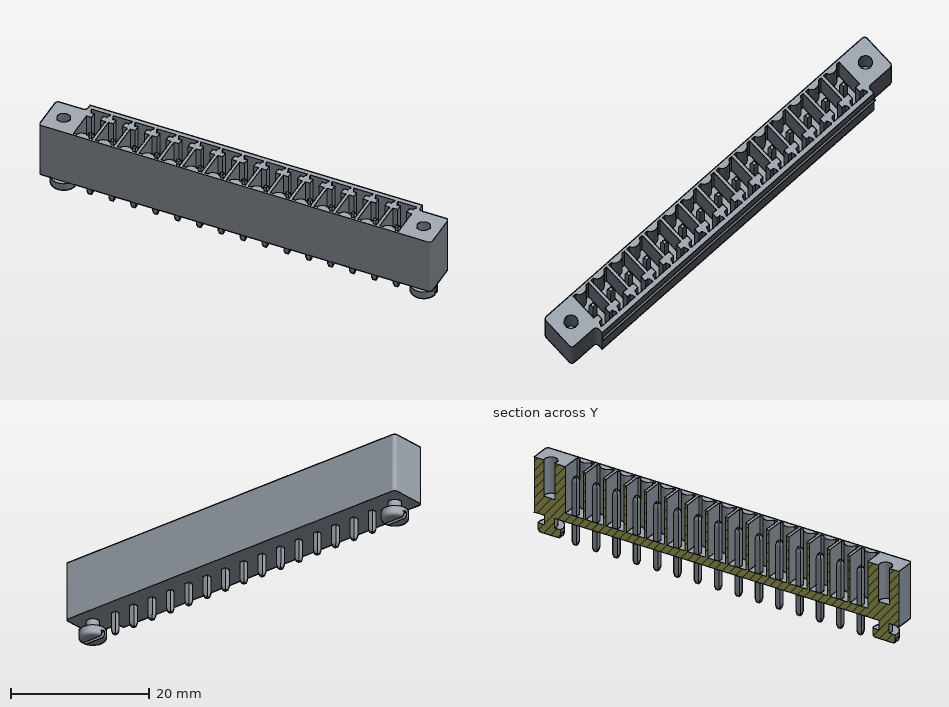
import cadquery as cq
import math

pin_count = 15
pitch = 3.5
pin_width = 0.8
pin_below = 3.4
pin_top = 7.7
pin_tip_length = 0.6
pin_tip_width = 0.5

body_height = 9.2
total_length = 62.8
end_step = 4.8
front_y = -3.0
flange_depth = 6.0
body_depth = 7.25
corner_radius = 0.5
step_radius = 0.5
core_length = total_length - 2 * end_step
flange_back_y = front_y + flange_depth
back_y = front_y + body_depth

rib_radius = 0.3
rib_centre_z = 5.9

floor_thickness = 1.5
front_wall = 0.4
partition = 0.5
pocket_width = pitch - partition
chamber_length = 4.4
neck_width = 1.45
neck_length = 0.95
head_width = 2.55
head_slope_length = 0.55
head_straight_length = 0.2
pocket_front_y = front_y + front_wall
chamber_back_y = pocket_front_y + chamber_length
neck_back_y = chamber_back_y + neck_length
head_shoulder_y = neck_back_y + head_slope_length
pocket_back_y = head_shoulder_y + head_straight_length
lobe_width = 2.0
lobe_depth = 0.65

screw_to_pin = 4.3
screw_spacing = (pin_count - 1) * pitch + 2 * screw_to_pin
screw_diameter = 2.0
screw_head_diameter = 4.0
screw_head_top = -1.5
screw_head_height = 1.5
screw_head_fillet = 0.5
slot_width = 0.6
slot_depth = 0.9
bore_depth = 6.0

pin_xs = [(i - (pin_count - 1) / 2) * pitch for i in range(pin_count)]
screw_xs = [-screw_spacing / 2, screw_spacing / 2]


def make_housing():
    """Full-length flange block with a deeper centre section."""
    flange = cq.Workplane("XY").box(total_length, flange_depth, body_height, centered=(True, False, False))
    flange = flange.edges("|Z").fillet(corner_radius).translate((0, front_y, 0))
    core = cq.Workplane("XY").box(core_length, body_depth, body_height, centered=(True, False, False))
    housing = flange.union(core.translate((0, front_y, 0)))
    inner_corners = cq.selectors.BoxSelector(
        (-core_length / 2 - corner_radius, flange_back_y - corner_radius, 0),
        (core_length / 2 + corner_radius, flange_back_y + corner_radius, body_height),
    )
    return housing.edges("|Z").edges(inner_corners).fillet(step_radius)


def make_latch_rib():
    """Half-round rib on the back wall, as long as the centre section."""
    return (
        cq.Workplane("YZ", origin=(0, back_y, rib_centre_z))
        .circle(rib_radius)
        .extrude(core_length / 2, both=True)
    )


def make_pocket(x):
    """Keyed pocket: wide chamber, narrow neck and a dovetail head, with a round lobe in front."""
    right_side = [
        (pocket_width / 2, pocket_front_y),
        (pocket_width / 2, chamber_back_y),
        (neck_width / 2, chamber_back_y),
        (neck_width / 2, neck_back_y),
        (head_width / 2, neck_back_y),
        (pocket_width / 2, head_shoulder_y),
        (pocket_width / 2, pocket_back_y),
    ]
    left_side = [(-px, py) for px, py in reversed(right_side)]
    return (
        cq.Workplane("XY", origin=(x, 0, floor_thickness))
        .moveTo(lobe_width / 2, pocket_front_y)
        .polyline(right_side + left_side, includeCurrent=True)
        .lineTo(-lobe_width / 2, pocket_front_y)
        .threePointArc((0, pocket_front_y + lobe_depth), (lobe_width / 2, pocket_front_y))
        .close()
        .extrude(body_height - floor_thickness)
    )


def make_pin(x):
    """Square pin tapered at both ends."""
    taper_angle = math.degrees(math.atan((pin_width - pin_tip_width) / 2 / pin_tip_length))
    shank_length = pin_top + pin_below - 2 * pin_tip_length
    return (
        cq.Workplane("XY", origin=(x, 0, pin_tip_length - pin_below))
        .rect(pin_width, pin_width)
        .extrude(shank_length)
        .faces(">Z").wires().toPending()
        .extrude(pin_tip_length, taper=taper_angle)
        .faces("<Z").wires().toPending().workplane()
        .extrude(pin_tip_length, taper=taper_angle)
    )


def make_screw(x):
    """Slotted screw below the flange; its shank reaches into the housing."""
    head = cq.Workplane("XY", origin=(x, 0, screw_head_top))
    head = head.circle(screw_head_diameter / 2).extrude(-screw_head_height)
    head = head.faces("<Z").edges().fillet(screw_head_fillet)
    slot = cq.Workplane("XY", origin=(x, 0, screw_head_top - screw_head_height))
    slot = slot.rect(screw_head_diameter, slot_width).extrude(slot_depth)
    shank_length = body_height - bore_depth - screw_head_top
    shank = cq.Workplane("XY", origin=(x, 0, screw_head_top)).circle(screw_diameter / 2).extrude(shank_length)
    return head.cut(slot).union(shank)


def make_bore(x):
    """Blind hole in the top of a flange, down to the screw shank."""
    return cq.Workplane("XY", origin=(x, 0, body_height)).circle(screw_diameter / 2).extrude(-bore_depth)


result = make_housing().union(make_latch_rib())
for pin_x in pin_xs:
    result = result.cut(make_pocket(pin_x)).union(make_pin(pin_x))
for screw_x in screw_xs:
    result = result.cut(make_bore(screw_x)).union(make_screw(screw_x))